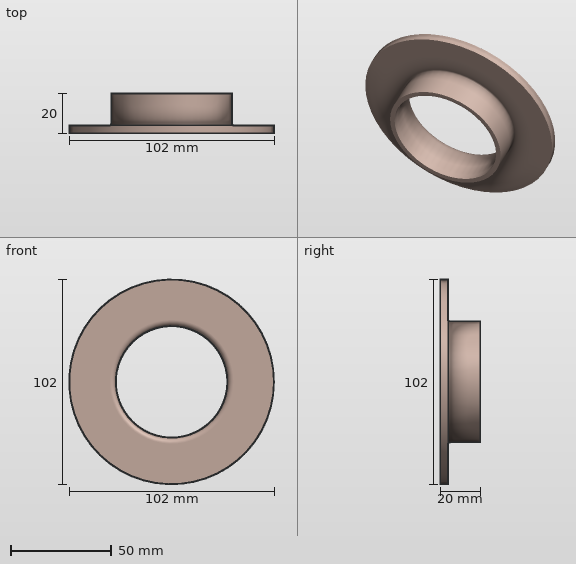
import cadquery as cq

flange_diameter = 102.0
flange_thickness = 4.0
total_length = 20.0
hub_diameter = 60.4
bore_diameter = 55.4
mouth_radius = 3.1
foot_radius = 0.8


def disc(diameter, length):
    """Solid cylinder starting at the flange face and running along +Y."""
    return cq.Workplane("XZ").circle(diameter / 2).extrude(-length)


smallest_circle = cq.selectors.RadiusNthSelector(0)

body = disc(flange_diameter, flange_thickness).union(disc(hub_diameter, total_length))

body = body.faces("%PLANE").faces(">Y[-2]").edges(smallest_circle).fillet(foot_radius)

body = body.cut(disc(bore_diameter, total_length))
result = body.faces("<Y").edges(smallest_circle).fillet(mouth_radius)